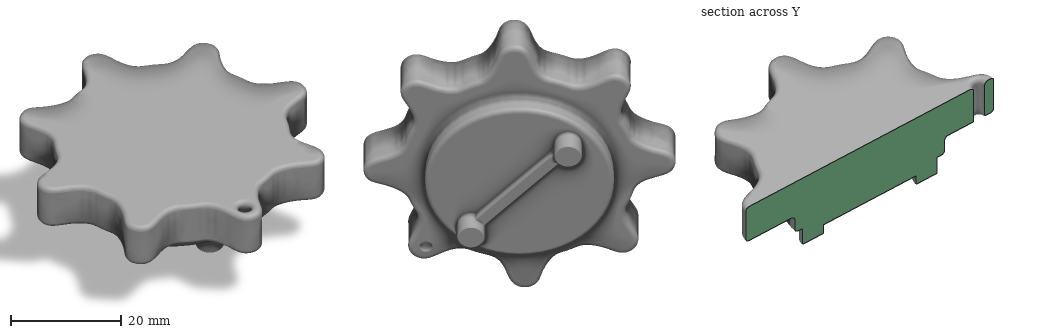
import cadquery as cq
import math

lobe_count = 8
overall_width = 56.65
plate_thickness = 8.7
base_radius = 21.5
lobe_tip_radius = 3.0
lobe_shoulder_angle = 36.0
lobe_flank_point = (24.73, 3.33)
valley_half_angle = 18.2
edge_fillet = 0.85

disc_radius = 17.15
disc_bottom = -4.1

pin_radius = 2.5
pin_offset = 12.95
pin_length = 4.0
pin_edge_chamfer = 0.2
rail_width = 2.0
rail_height = 1.85

hole_radius = 1.2
hole_offset = 24.95
hole_mouth_fillet = 1.0


def polar(radius, degrees):
    """The point at a radius and an angle from +X."""
    angle = math.radians(degrees)
    return (radius * math.cos(angle), radius * math.sin(angle))


def rotated(point, degrees):
    """The point turned about the part's axis."""
    x, y = point
    return polar(math.hypot(x, y), degrees + math.degrees(math.atan2(y, x)))


def star_outline():
    """Closed outline: one smooth curve over each lobe, one arc of the body between lobes."""
    pitch = 360 / lobe_count
    tip = (overall_width / 2, 0)
    shoulder_x, shoulder_y = polar(lobe_tip_radius, lobe_shoulder_angle)
    shoulder = (tip[0] - lobe_tip_radius + shoulder_x, shoulder_y)
    lobe_end = polar(base_radius, valley_half_angle)
    upper_half = [shoulder, lobe_flank_point, lobe_end]
    lower_half = [(x, -y) for x, y in reversed(upper_half)]
    lobe_points = lower_half + [tip] + upper_half

    outline = cq.Workplane("XY").moveTo(*lobe_points[0])
    for index in range(lobe_count):
        lobe = index * pitch
        tangents = [polar(1, lobe + 90 - valley_half_angle), polar(1, lobe + 90 + valley_half_angle)]
        curve_points = [rotated(point, lobe) for point in lobe_points[1:]]
        outline = outline.spline(curve_points, tangents, includeCurrent=True)
        body_middle = polar(base_radius, lobe + pitch / 2)
        next_lobe_start = rotated(lobe_points[0], lobe + pitch)
        outline = outline.threePointArc(body_middle, next_lobe_start)
    return outline.close()


def make_plate():
    """Star plate with its upper and lower rims rounded."""
    return star_outline().extrude(plate_thickness).faces("<Z or >Z").edges().fillet(edge_fillet)


def make_disc():
    """Disc with a rounded lower rim and a concave fillet flaring into the plate."""
    rim_inset = edge_fillet * (1 - math.sqrt(0.5))
    return (
        cq.Workplane("XZ")
        .moveTo(0, edge_fillet)
        .lineTo(0, disc_bottom)
        .lineTo(disc_radius - edge_fillet, disc_bottom)
        .threePointArc(
            (disc_radius - rim_inset, disc_bottom + rim_inset),
            (disc_radius, disc_bottom + edge_fillet),
        )
        .lineTo(disc_radius, -edge_fillet)
        .threePointArc(
            (disc_radius + rim_inset, -rim_inset),
            (disc_radius + edge_fillet, 0),
        )
        .lineTo(disc_radius + edge_fillet, edge_fillet)
        .close()
        .revolve(360, (0, 0), (0, 1))
    )


def make_drive():
    """Two round pins under the disc and the rail between them."""
    pins = (
        cq.Workplane("XY", origin=(0, 0, disc_bottom))
        .pushPoints([(-pin_offset, 0), (pin_offset, 0)])
        .circle(pin_radius)
        .extrude(-pin_length)
        .faces("<Z")
        .edges()
        .chamfer(pin_edge_chamfer)
    )
    rail = (
        cq.Workplane("XY", origin=(0, 0, disc_bottom))
        .rect(2 * pin_offset, rail_width)
        .extrude(-rail_height)
    )
    return pins.union(rail)


def make_hole_cutter():
    """Through hole whose upper mouth is rounded over."""
    mouth_radius = hole_radius + hole_mouth_fillet
    inset = hole_mouth_fillet * (1 - math.sqrt(0.5))
    return (
        cq.Workplane("XZ")
        .lineTo(hole_radius, 0)
        .lineTo(hole_radius, plate_thickness - hole_mouth_fillet)
        .threePointArc(
            (hole_radius + inset, plate_thickness - inset),
            (mouth_radius, plate_thickness),
        )
        .lineTo(0, plate_thickness)
        .close()
        .revolve(360, (0, 0), (0, 1))
        .translate((hole_offset, 0, 0))
    )


result = make_plate().union(make_disc()).union(make_drive()).cut(make_hole_cutter())